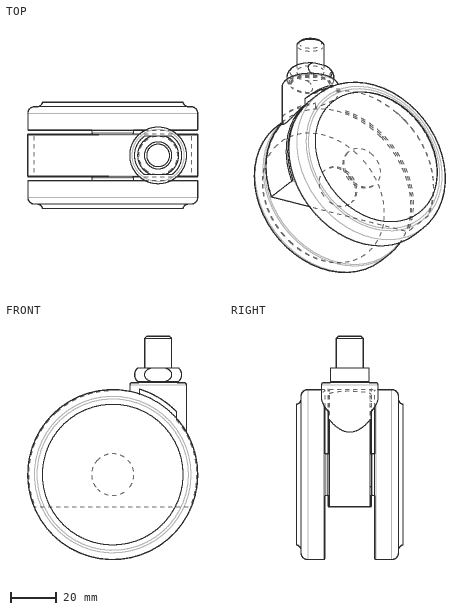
import cadquery as cq


wheel_radius = 37.5
overall_width = 47.0
overall_height = 98.5

wheel_inner_y = 11.0
tread_round = 3.0
wheel_edge_round = 0.5
cap_height = 2.0
cap_radius = 31.0
cap_foot_radius = 33.35
hub_radius = 9.25
hub_round = 0.5
wheel_outer_y = overall_width / 2
wheel_shoulder_y = wheel_outer_y - cap_height

housing_width = 19.0
housing_bottom_z = -14.25
housing_edge_round = 0.5
collar_x = 20.0
collar_radius = 12.5
collar_top_z = 40.5
collar_round = 1.0
wheel_clearance = 2.0

stem_radius = 6.0
stem_chamfer = 1.0
stem_top_z = overall_height - wheel_radius
nut_top_z = 47.0
nut_height = 6.0
nut_bottom_z = nut_top_z - nut_height
nut_radius = 10.4
nut_end_radius = 9.0
nut_flat_width = 17.0
washer_face_radius = nut_flat_width / 2


def make_wheel(side):
    """Wheel on the +Y (side = 1) or -Y (side = -1) end, with a hub that reaches the housing."""
    hub_y = housing_width / 2
    profile = (
        cq.Workplane("XY")
        .moveTo(0, hub_y)
        .lineTo(hub_radius - hub_round, hub_y)
        .radiusArc((hub_radius, hub_y + hub_round), -hub_round)
        .lineTo(hub_radius, wheel_inner_y)
        .lineTo(wheel_radius - wheel_edge_round, wheel_inner_y)
        .radiusArc((wheel_radius, wheel_inner_y + wheel_edge_round), -wheel_edge_round)
        .lineTo(wheel_radius, wheel_shoulder_y - tread_round)
        .radiusArc((wheel_radius - tread_round, wheel_shoulder_y), -tread_round)
        .lineTo(cap_foot_radius, wheel_shoulder_y)
        .tangentArcPoint((cap_radius, wheel_outer_y), relative=False)
        .lineTo(0, wheel_outer_y)
        .close()
    )
    wheel = profile.revolve(360, (0, 0, 0), (0, 1, 0))
    return wheel if side > 0 else wheel.mirror("XZ")


def cylinder_along_y(radius, y_start, y_end):
    """Solid cylinder on the wheel axis."""
    return cq.Workplane("XZ", origin=(0, y_start, 0)).circle(radius).extrude(y_start - y_end)


def make_housing():
    """Disc between the wheels, cut flat below, with an upright collar for the stem."""
    half_width = housing_width / 2
    disc = cylinder_along_y(wheel_radius, -half_width, half_width)
    below = (
        cq.Workplane("XY", origin=(0, 0, housing_bottom_z))
        .rect(3 * wheel_radius, overall_width)
        .extrude(-wheel_radius)
    )
    disc = disc.cut(below).faces("<Y or >Y").edges().fillet(housing_edge_round)
    collar = (
        cq.Workplane("XY", origin=(collar_x, 0, 0))
        .circle(collar_radius)
        .extrude(collar_top_z)
        .faces(">Z")
        .edges()
        .fillet(collar_round)
    )
    clearance_radius = wheel_radius + wheel_clearance
    for side in (1, -1):
        collar = collar.cut(cylinder_along_y(clearance_radius, side * half_width, side * overall_width))
    return disc.union(collar)


def make_stem():
    """Round shank above a barrel-sided nut with two wrench flats and a thin washer face."""
    nut = (
        cq.Workplane("XZ", origin=(collar_x, 0, nut_bottom_z))
        .lineTo(nut_end_radius, 0)
        .threePointArc((nut_radius, nut_height / 2), (nut_end_radius, nut_height))
        .lineTo(0, nut_height)
        .close()
        .revolve(360, (0, 0, 0), (0, 1, 0))
    )
    for side in (1, -1):
        beside_flat = (
            cq.Workplane("XY", origin=(collar_x, side * nut_flat_width, nut_bottom_z))
            .rect(3 * nut_radius, nut_flat_width)
            .extrude(nut_height)
        )
        nut = nut.cut(beside_flat)
    shank = (
        cq.Workplane("XY", origin=(collar_x, 0, nut_top_z))
        .circle(stem_radius)
        .extrude(stem_top_z - nut_top_z)
        .faces(">Z")
        .chamfer(stem_chamfer)
    )
    washer_face = (
        cq.Workplane("XY", origin=(collar_x, 0, collar_top_z))
        .circle(washer_face_radius)
        .extrude(nut_bottom_z - collar_top_z)
    )
    return nut.union(shank).union(washer_face)


wheels = [make_wheel(side) for side in (1, -1)]
housing = make_housing()
stem = make_stem()

result = cq.Compound.makeCompound([*[wheel.val() for wheel in wheels], housing.val(), stem.val()])